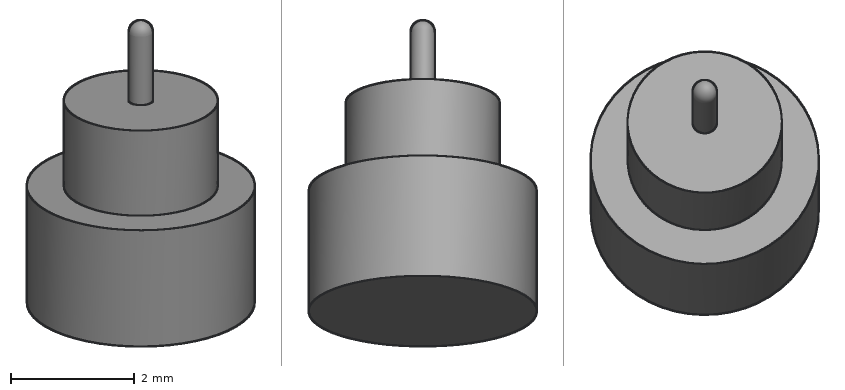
import cadquery as cq
import math

body_diameter = 3.7
collar_diameter = 2.5
insulator_diameter = 1.95
pin_diameter = 0.4

body_height = 2.05
collar_height = 1.5
pin_length = 1.4

body_radius = body_diameter / 2
collar_radius = collar_diameter / 2
insulator_radius = insulator_diameter / 2
pin_radius = pin_diameter / 2

collar_top = body_height + collar_height
pin_top = collar_top + pin_length
tip_start = pin_top - pin_radius
tip_mid_offset = pin_radius * math.sin(math.radians(45))


def half_section():
    """Closed half profile of the connector on the -X side of its axis."""
    return (
        cq.Workplane("XZ")
        .lineTo(-body_radius, 0)
        .lineTo(-body_radius, body_height)
        .lineTo(-collar_radius, body_height)
        .lineTo(-collar_radius, collar_top)
        .lineTo(-insulator_radius, collar_top)
        .lineTo(-pin_radius, collar_top)
        .lineTo(-pin_radius, tip_start)
        .threePointArc((-tip_mid_offset, tip_start + tip_mid_offset), (0, pin_top))
        .close()
    )


result = half_section().revolve(360, (0, 0), (0, 1), clean=False)